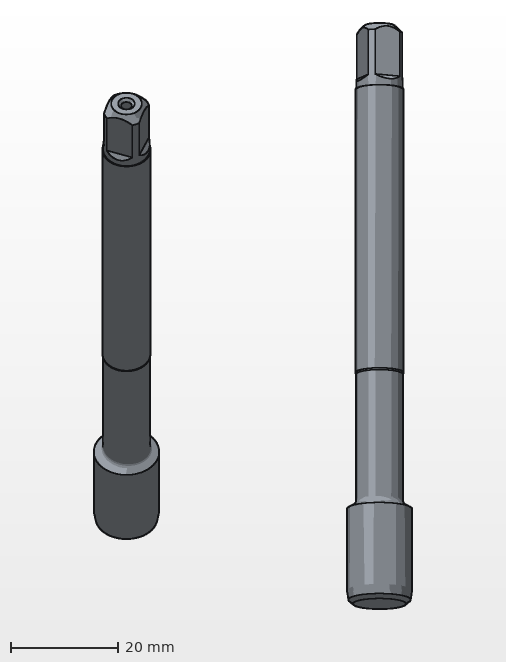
import cadquery as cq
import math

total_length = 110.0

head_radius = 12.2 / 2
lead_mid_radius = 5.8
end_radius = 5.0
lead_start_z = 2.5
lead_mid_z = 0.8
head_top_z = 18.0

shank_radius = 9.0 / 2
shoulder_angle = 60.0
shoulder_fillet = 1.1
neck_radius = 8.8 / 2
neck_end_z = 43.7
step_length = 0.3

square_size = 7.0
drive_radius = 8.7 / 2
square_length = 10.0
shank_end_z = 97.9
top_radius = 2.9

hole_diameter = 2.0
countersink_diameter = 3.1
hole_depth = 2.8
drill_tip_angle = 118.0


def revolve_profile(profile):
    """Solid of revolution about Z from a closed radius-height profile."""
    return profile.revolve(360, (0, 0, 0), (0, 1, 0))


def make_head():
    """Cylindrical head with a two-stage tapered lead."""
    profile = (
        cq.Workplane("XZ")
        .lineTo(end_radius, 0)
        .lineTo(lead_mid_radius, lead_mid_z)
        .lineTo(head_radius, lead_start_z)
        .lineTo(head_radius, head_top_z)
        .lineTo(0, head_top_z)
        .close()
    )
    return revolve_profile(profile)


def make_shank_blank():
    """Round shank on a conical shoulder, with a slimmer neck and a 45 degree top chamfer."""
    angle = math.radians(shoulder_angle)
    fillet_start_radius = neck_radius + shoulder_fillet * (1 - math.cos(angle))
    fillet_start_z = head_top_z + (head_radius - fillet_start_radius) / math.tan(angle)
    fillet_end_z = fillet_start_z + shoulder_fillet * math.sin(angle)
    top_chamfer = drive_radius - top_radius
    profile = (
        cq.Workplane("XZ")
        .moveTo(0, head_top_z)
        .lineTo(head_radius, head_top_z)
        .lineTo(fillet_start_radius, fillet_start_z)
        .tangentArcPoint((neck_radius, fillet_end_z), relative=False)
        .lineTo(neck_radius, neck_end_z)
        .lineTo(shank_radius, neck_end_z + step_length)
        .lineTo(shank_radius, shank_end_z)
        .lineTo(drive_radius, shank_end_z)
        .lineTo(drive_radius, total_length - top_chamfer)
        .lineTo(top_radius, total_length)
        .lineTo(0, total_length)
        .close()
    )
    return revolve_profile(profile)


def make_flat_cutter():
    """Block that cuts one flat, with a 45 degree run-out at its lower end."""
    flat_x = square_size / 2
    flat_bottom_z = total_length - square_length
    cut_depth = shank_radius
    return (
        cq.Workplane("XZ")
        .polyline([
            (flat_x, total_length),
            (flat_x, flat_bottom_z),
            (flat_x + cut_depth, flat_bottom_z - cut_depth),
            (flat_x + cut_depth, total_length),
        ])
        .close()
        .extrude(shank_radius, both=True)
    )


def make_centre_hole():
    """Countersunk blind hole with a conical drill tip."""
    hole_radius = hole_diameter / 2
    countersink_radius = countersink_diameter / 2
    tip_length = hole_radius / math.tan(math.radians(drill_tip_angle / 2))
    hole_bottom_z = total_length - hole_depth
    profile = cq.Workplane("XZ").polyline([
        (0, total_length),
        (countersink_radius, total_length),
        (hole_radius, total_length - (countersink_radius - hole_radius)),
        (hole_radius, hole_bottom_z),
        (0, hole_bottom_z - tip_length),
    ]).close()
    return revolve_profile(profile)


def make_shank():
    """Shank with four drive flats and a centre hole."""
    body = make_shank_blank()
    for angle in range(0, 360, 90):
        body = body.cut(make_flat_cutter().rotate((0, 0, 0), (0, 0, 1), angle))
    return body.cut(make_centre_hole())


head = make_head()
shank = make_shank()
result = cq.Compound.makeCompound([head.val(), shank.val()])